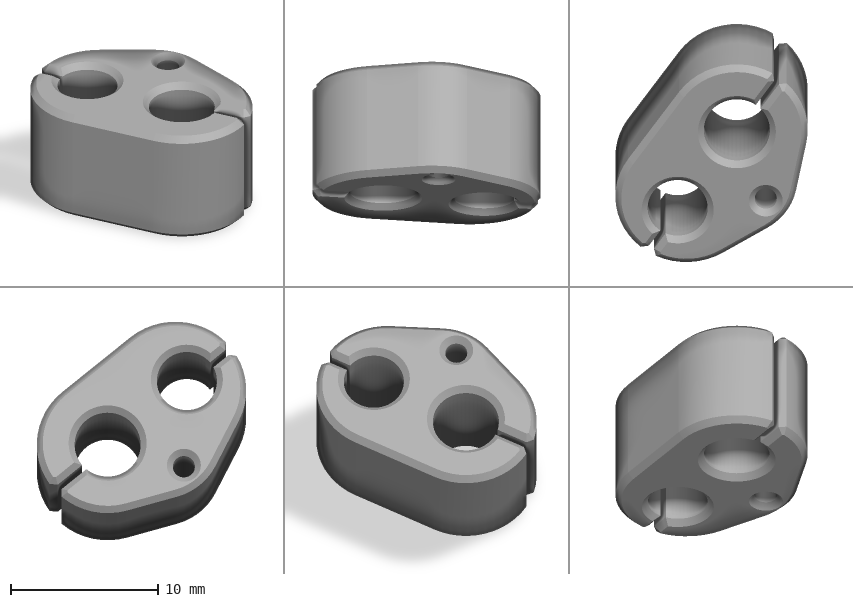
import cadquery as cq
import math

height = 8.0
chamfer = 0.4

lobe_offset = 2.99
lobe_radius = 4.81
crown_top = 6.18
crown_radius = 4.2
crown_y = crown_top - crown_radius

left_bore = (-4.0, 0, 2.04)
right_bore = (lobe_offset, 0, 2.24)
crown_hole = (0, 4.5, 0.75)

slot_width = 0.4


def point_on_circle(center_x, center_y, radius, angle):
    return (center_x + radius * math.cos(angle), center_y + radius * math.sin(angle))


def mirrored(point):
    return (-point[0], point[1])


def make_body():
    center_distance = math.hypot(lobe_offset, crown_y)
    center_line_angle = math.atan2(crown_y, -lobe_offset)
    normal_angle = center_line_angle - math.acos((lobe_radius - crown_radius) / center_distance)

    lobe_tangent = point_on_circle(lobe_offset, 0, lobe_radius, normal_angle)
    crown_tangent = point_on_circle(0, crown_y, crown_radius, normal_angle)
    lobe_side = (lobe_offset + lobe_radius, 0)
    base_corner = (lobe_offset, -lobe_radius)

    return (
        cq.Workplane("XY")
        .moveTo(*mirrored(base_corner))
        .lineTo(*base_corner)
        .threePointArc(lobe_side, lobe_tangent)
        .lineTo(*crown_tangent)
        .threePointArc((0, crown_top), mirrored(crown_tangent))
        .lineTo(*mirrored(lobe_tangent))
        .threePointArc(mirrored(lobe_side), mirrored(base_corner))
        .close()
        .extrude(height)
    )


def make_hole(x, y, radius):
    return cq.Workplane("XY").center(x, y).circle(radius).extrude(height)


def make_slot(bore, side):
    bore_x, bore_y, _ = bore
    length = 2 * lobe_radius
    return (
        cq.Workplane("XY")
        .center(bore_x + side * length / 2, bore_y + slot_width / 2)
        .rect(length, slot_width)
        .extrude(height)
    )


def chamfer_slot_mouths(body):
    mouth_depth = 2 * chamfer
    side_reach = lobe_offset + lobe_radius
    mouths = cq.selectors.BoxSelector(
        (-side_reach, -chamfer, 0), (mouth_depth - side_reach, 2 * slot_width, height)
    ) + cq.selectors.BoxSelector(
        (side_reach - mouth_depth, -chamfer, 0), (side_reach, 2 * slot_width, height)
    )
    uprights = cq.selectors.ParallelDirSelector(cq.Vector(0, 0, 1)) & mouths
    return body.edges(uprights).chamfer(chamfer)


def chamfer_ends(body):
    return body.faces("<Z or >Z").edges().chamfer(chamfer)


body = make_body()
for hole in (left_bore, right_bore, crown_hole):
    body = body.cut(make_hole(*hole))
body = body.cut(make_slot(left_bore, -1))
body = body.cut(make_slot(right_bore, 1))

body = chamfer_slot_mouths(body)
result = chamfer_ends(body)